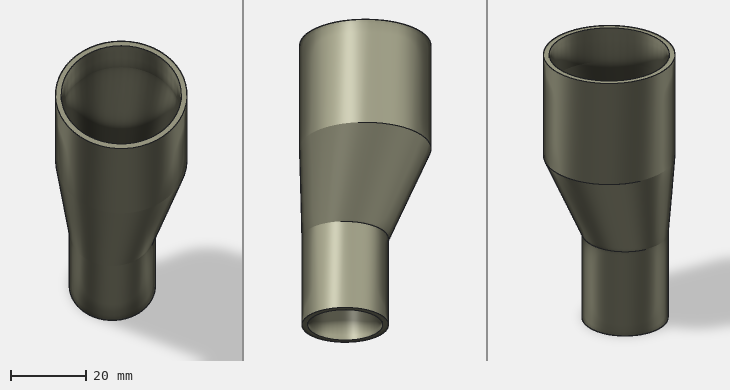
import cadquery as cq

total_height = 80.0
large_outer_diameter = 35.0
small_outer_diameter = 23.0
large_bore_diameter = 32.0
small_bore_diameter = 20.0
large_tube_height = 30.0
large_bore_depth = 10.0

small_tube_height = (total_height - large_tube_height) / 2
taper_top = total_height - large_tube_height
small_bore_top = small_tube_height
large_bore_floor = total_height - large_bore_depth

small_tube_y = -(large_outer_diameter - small_outer_diameter) / 2


def eccentric_reducer(small_diameter, large_diameter, taper_bottom, taper_top):
    """Solid of a small cylinder, an eccentric taper and a large cylinder."""
    small_cylinder = (
        cq.Workplane("XY")
        .center(0, small_tube_y)
        .circle(small_diameter / 2)
        .extrude(taper_bottom)
    )
    taper = (
        cq.Workplane("XY", origin=(0, small_tube_y, taper_bottom))
        .circle(small_diameter / 2)
        .workplane(offset=taper_top - taper_bottom)
        .center(0, -small_tube_y)
        .circle(large_diameter / 2)
        .loft(ruled=True)
    )
    large_cylinder = (
        cq.Workplane("XY")
        .workplane(offset=taper_top)
        .circle(large_diameter / 2)
        .extrude(total_height - taper_top)
    )
    return small_cylinder.union(taper).union(large_cylinder)


outer_body = eccentric_reducer(small_outer_diameter, large_outer_diameter, small_tube_height, taper_top)
bore = eccentric_reducer(small_bore_diameter, large_bore_diameter, small_bore_top, large_bore_floor)

result = outer_body.cut(bore)